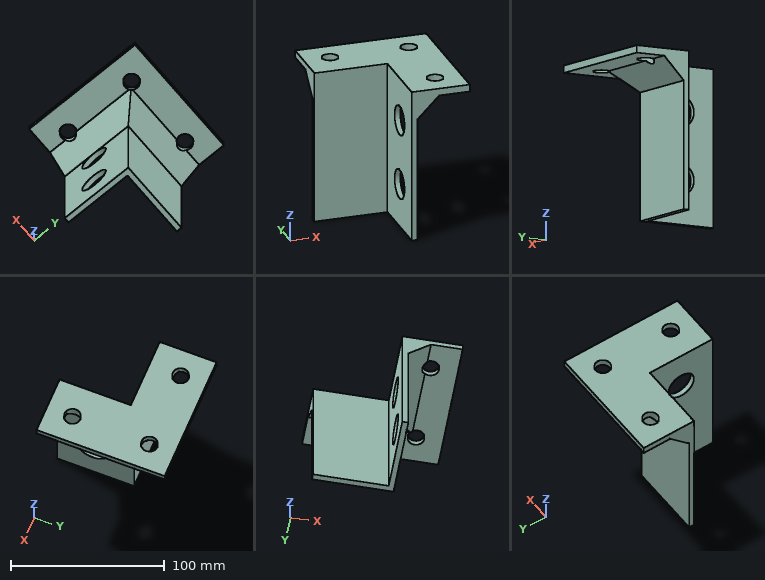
import cadquery as cq

plate_size = 90.0
notch_size = 50.0
height = 105.0
plate_thickness = 5.0
wall_thickness = 4.0
gusset_leg = 15.0

bolt_hole_diameter = 11.0
wall_hole_diameter = 20.0
wall_hole_depths = (30.0, 75.0)

plate_underside = height - plate_thickness
wall_outer = notch_size + wall_thickness
flange_width = plate_size - wall_outer
bolt_near = flange_width / 2
bolt_far = plate_size - bolt_near


def corner_notch():
    """Full-height square block that empties the low X, low Y corner."""
    return cq.Workplane("XY").rect(notch_size, notch_size, centered=False).extrude(height)


def l_plate(size, bottom, thickness):
    """Square slab with its low X, low Y corner notched out."""
    slab = cq.Workplane("XY", origin=(0, 0, bottom)).rect(size, size, centered=False).extrude(thickness)
    return slab.cut(corner_notch())


def gusset_block():
    """L-shaped band under the plate, sloping from the plate in to both walls."""
    section = (
        cq.Workplane("XZ")
        .moveTo(0, plate_underside - gusset_leg)
        .lineTo(wall_outer, plate_underside - gusset_leg)
        .lineTo(wall_outer + gusset_leg, plate_underside)
        .lineTo(0, plate_underside)
        .close()
    )
    along_y = section.extrude(-plate_size)
    along_x = along_y.mirror("XZ").rotate((0, 0, 0), (0, 0, 1), 90)
    return along_y.intersect(along_x).cut(corner_notch())


def bolt_holes():
    """Vertical holes at the plate corner and near the end of each arm."""
    centres = [(bolt_near, bolt_far), (bolt_far, bolt_far), (bolt_far, bolt_near)]
    return cq.Workplane("XY").pushPoints(centres).circle(bolt_hole_diameter / 2).extrude(height)


def wall_holes():
    """Holes through the wall that faces X, centred along its notch side."""
    centres = [(notch_size / 2, height - depth) for depth in wall_hole_depths]
    plane = cq.Workplane("YZ", origin=(notch_size, 0, 0))
    return plane.pushPoints(centres).circle(wall_hole_diameter / 2).extrude(wall_thickness)


walls = l_plate(wall_outer, 0, plate_underside)
plate = l_plate(plate_size, plate_underside, plate_thickness)
body = walls.union(plate).union(gusset_block())
result = body.cut(bolt_holes()).cut(wall_holes())